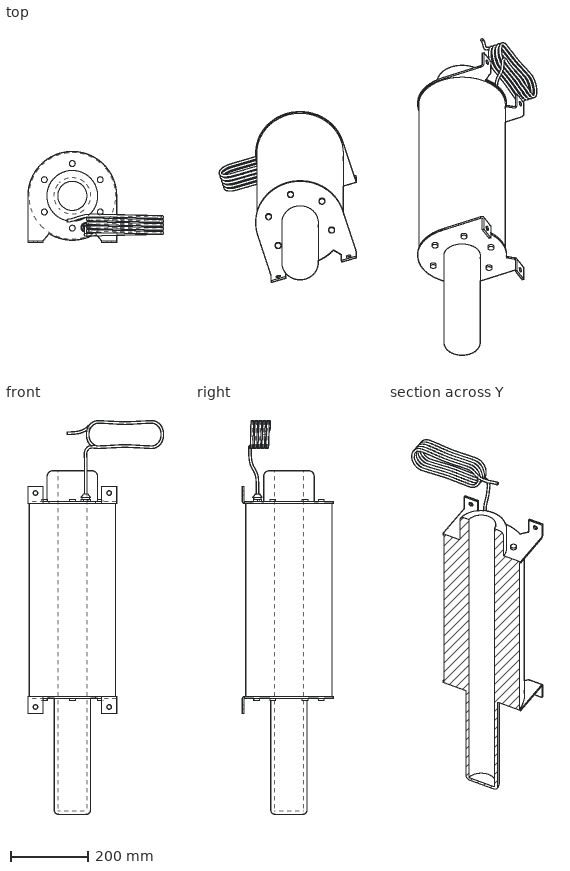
import cadquery as cq
import math

body_diameter = 224.0
body_bottom = 306.0
body_height = 498.0
body_mid_height = body_bottom + body_height / 2
body_top = body_bottom + body_height

plate_diameter = 230.0
plate_radius = plate_diameter / 2
plate_thickness = 5.0
plate_top = body_top + plate_thickness

tube_diameter = 95.0
tube_end_round = 12.0
collar_diameter = 132.0
collar_top = 890.0
collar_round = 15.0
bore_diameter = 75.0
tube_wall = (tube_diameter - bore_diameter) / 2
bore_depth = collar_top - tube_wall

lug_width = 40.0
lug_face_y = -121.0
lug_height = 45.0
lug_inner_x = plate_radius - lug_width
lug_hole_diameter = 11.0
lug_hole_from_tip = 17.0
bend_outer_radius = 8.0
bend_inner_radius = bend_outer_radius - plate_thickness
lug_inner_y = lug_face_y + plate_thickness
web_root_x = 60.0
web_root_y = -math.sqrt(plate_radius**2 - web_root_x**2)

screw_count = 6
screw_circle_radius = 84.0
screw_head_diameter = 15.0
screw_head_height = 6.0

gland_x = 35.0
gland_y = -82.0
gland_nut_corner_diameter = 24.0
gland_nut_height = 6.0
gland_neck_diameter = 19.0
gland_neck_height = 5.0
gland_cap_top_diameter = 12.0
gland_cap_height = 8.0
gland_top = plate_top + gland_nut_height + gland_neck_height + gland_cap_height

cable_diameter = 7.0
overall_height = 1019
coil_top = overall_height - cable_diameter / 2
coil_half_height = 33.0
coil_mid_height = coil_top - coil_half_height
bend_depth = 27.0
cable_right_x = 237.0
coil_right_x = cable_right_x - cable_diameter / 2 - bend_depth
coil_left_x = 66.0
coil_straight = coil_right_x - coil_left_x
coil_mid_x = (coil_left_x + coil_right_x) / 2
bend_length = math.pi * (bend_depth + coil_half_height) / 2
turn_length = 2 * (coil_straight + bend_length)
coil_turns = 5
bend_steps = 4
coil_pitch = 10.0
coil_drift = coil_pitch / turn_length
coil_start_y = -100.0
strand_sag = 3.0

riser_points = [
    (gland_x, gland_y, gland_top),
    (gland_x, gland_y, 856.0),
    (gland_x, -85.0, 881.0),
    (gland_x, -97.0, 906.0),
    (gland_x, -100.0, 922.0),
    (gland_x, -101.0, 938.0),
    (42.0, -101.0, 949.0),
]
free_end_points = [
    (49.0, -51.0, 1008.0),
    (36.0, -52.0, 997.0),
    (15.0, -57.0, 989.0),
    (-13.0, -64.0, 987.0),
]


def make_lug(side):
    """Flat web, bend and drilled upright on the side given by +1 or -1 in X."""
    lug_tip = body_top + lug_height
    bend_height = body_top + bend_outer_radius
    bend_start_y = lug_face_y + bend_outer_radius
    sheet = (
        cq.Workplane("YZ")
        .moveTo(0, body_top)
        .lineTo(bend_start_y, body_top)
        .radiusArc((lug_face_y, bend_height), bend_outer_radius)
        .lineTo(lug_face_y, lug_tip)
        .lineTo(lug_inner_y, lug_tip)
        .lineTo(lug_inner_y, bend_height)
        .radiusArc((bend_start_y, plate_top), -bend_inner_radius)
        .lineTo(0, plate_top)
        .close()
        .extrude(side * plate_radius)
    )
    plan = (
        cq.Workplane("XY", origin=(0, 0, body_top))
        .lineTo(side * plate_radius, 0)
        .lineTo(side * plate_radius, lug_face_y)
        .lineTo(side * lug_inner_x, lug_face_y)
        .lineTo(side * lug_inner_x, lug_inner_y)
        .lineTo(side * web_root_x, web_root_y)
        .close()
        .extrude(lug_height)
    )
    hole_x = side * (lug_inner_x + lug_width / 2)
    hole = (
        cq.Workplane("XZ", origin=(hole_x, lug_inner_y, lug_tip - lug_hole_from_tip))
        .circle(lug_hole_diameter / 2)
        .extrude(plate_thickness)
    )
    return sheet.intersect(plan).cut(hole)


def make_top_end():
    """Upper end plate with its two lugs and its ring of screw heads."""
    end = cq.Workplane("XY", origin=(0, 0, body_top)).circle(plate_radius).extrude(plate_thickness)
    for side in (-1, 1):
        end = end.union(make_lug(side))
    for index in range(screw_count):
        angle = math.radians(90 + index * 360 / screw_count)
        x = screw_circle_radius * math.cos(angle)
        y = screw_circle_radius * math.sin(angle)
        head = (
            cq.Workplane("XY", origin=(x, y, plate_top))
            .circle(screw_head_diameter / 2)
            .extrude(screw_head_height)
        )
        end = end.union(head)
    return end


def make_housing():
    body = cq.Workplane("XY", origin=(0, 0, body_bottom)).circle(body_diameter / 2).extrude(body_height)
    tube = cq.Workplane("XY").circle(tube_diameter / 2).extrude(body_mid_height)
    tube = tube.faces("<Z").edges().fillet(tube_end_round)
    collar = (
        cq.Workplane("XY", origin=(0, 0, body_mid_height))
        .circle(collar_diameter / 2)
        .extrude(collar_top - body_mid_height)
        .faces(">Z").edges().fillet(collar_round)
    )
    top_end = make_top_end()
    bottom_end = top_end.mirror("XY", (0, 0, body_mid_height))
    bore = cq.Workplane("XY", origin=(0, 0, collar_top)).circle(bore_diameter / 2).extrude(-bore_depth)
    return body.union(tube).union(collar).union(top_end).union(bottom_end).cut(bore)


def coil_point(x, rise, run):
    """Point of the winding at a height above the coil centre, after a run along the cable."""
    return (x, coil_start_y + coil_drift * run, coil_mid_height + rise)


def half_turn(bend_side, start_run):
    """Strand towards bend_side and the bend that leads to the opposite strand."""
    climb = bend_side * coil_half_height
    bend_x = coil_mid_x + bend_side * coil_straight / 2
    strand = [
        coil_point(coil_mid_x - bend_side * coil_straight / 2, -climb, start_run),
        coil_point(coil_mid_x, -climb + bend_side * strand_sag, start_run + coil_straight / 2),
        coil_point(bend_x, -climb, start_run + coil_straight),
    ]
    bend = []
    for step in range(bend_steps + 1):
        angle = step * math.pi / bend_steps
        x = bend_x + bend_side * bend_depth * math.sin(angle)
        run = start_run + coil_straight + step * bend_length / bend_steps
        bend.append(coil_point(x, -climb * math.cos(angle), run))
    outward = (bend_side, coil_drift, 0)
    inward = (-bend_side, coil_drift, 0)
    return [smooth_edge(strand, outward, outward), smooth_edge(bend, outward, inward)]


def smooth_edge(points, start_direction, end_direction):
    """Smooth curve through points with fixed directions at both ends."""
    tangents = [cq.Vector(*start_direction).normalized(), cq.Vector(*end_direction).normalized()]
    return cq.Edge.makeSpline([cq.Vector(*point) for point in points], tangents=tangents, scale=False)


def cable_route():
    """Centre line of the cable: riser, coil and free end."""
    coil_start = coil_point(coil_left_x, -coil_half_height, 0)
    edges = [smooth_edge(riser_points + [coil_start], (0, 0, 1), (1, coil_drift, 0))]
    half_turn_count = 2 * coil_turns - 1
    for index in range(half_turn_count):
        bend_side = 1 if index % 2 == 0 else -1
        edges.extend(half_turn(bend_side, index * turn_length / 2))

    last_run = half_turn_count * turn_length / 2
    last_strand = [
        coil_point(coil_right_x, coil_half_height, last_run),
        coil_point(coil_mid_x, coil_half_height - strand_sag, last_run + coil_straight / 2),
        coil_point(coil_left_x, coil_half_height, last_run + coil_straight),
    ]
    leftward = (-1, coil_drift, 0)
    edges.append(smooth_edge(last_strand, leftward, leftward))
    edges.append(smooth_edge([last_strand[-1]] + free_end_points, leftward, (-1, 0, 0)))
    return cq.Wire.assembleEdges(edges)


def make_cable():
    """Gland on the upper end plate and the cable that rises from it into the coil."""
    nut = (
        cq.Workplane("XY", origin=(gland_x, gland_y, plate_top))
        .polygon(6, gland_nut_corner_diameter)
        .extrude(gland_nut_height)
    )
    neck_and_cap = (
        cq.Workplane("XZ", origin=(gland_x, gland_y, plate_top + gland_nut_height))
        .lineTo(gland_neck_diameter / 2, 0)
        .lineTo(gland_neck_diameter / 2, gland_neck_height)
        .lineTo(gland_nut_corner_diameter / 2, gland_neck_height)
        .lineTo(gland_cap_top_diameter / 2, gland_neck_height + gland_cap_height)
        .lineTo(0, gland_neck_height + gland_cap_height)
        .close()
        .revolve(360, (0, 0, 0), (0, 1, 0))
    )
    cable = (
        cq.Workplane("XY", origin=riser_points[0])
        .circle(cable_diameter / 2)
        .sweep(cq.Workplane(cable_route()))
    )
    return nut.union(neck_and_cap).union(cable)


housing = make_housing()
cable = make_cable()
result = cq.Compound.makeCompound([housing.val(), cable.val()])